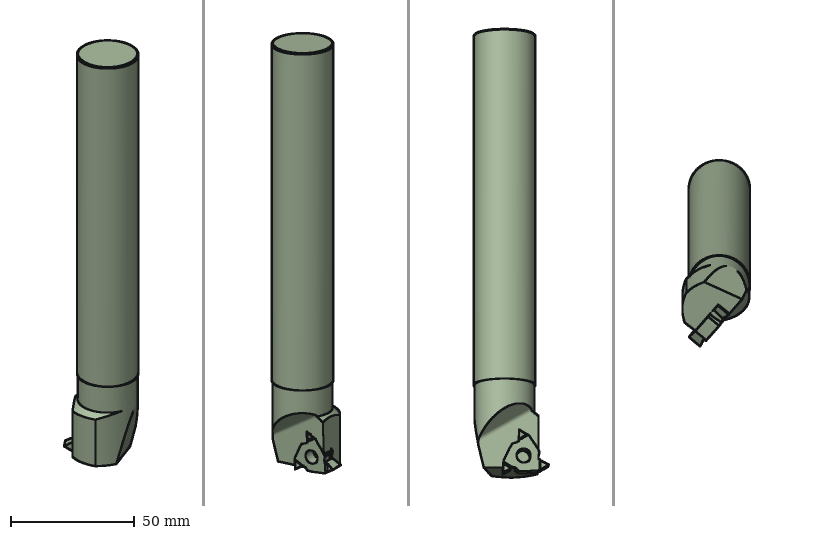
import cadquery as cq
import math


shank_radius = 24.98 / 2
neck_radius = 24.35 / 2
overall_length = 181.89
overall_width_x = 30.73
overall_width_y = 27.3
lowest_tip_drop = 3.43
shank_top = overall_length - lowest_tip_drop
shank_end_chamfer = 0.5
neck_top = 33.7
neck_bottom = 21.9
cone_angle = 50.0

head_bottom = -1.5
head_front = shank_radius - overall_width_y
belly_radius = 16.4
belly_flat_start_x = -1.1
belly_flat_end_x = 0.1
side_flat_front_x = -11.5
side_flat_length = 13.5
side_flat_turn = 13.5
belly_end_x = 8.9
belly_bulge = (4.7, -12.4)
side_slope_start_z = 20.7
side_slope_angle = 12.4

tip_x = shank_radius - overall_width_x
seat_turn = 15.0
seat_lean = 3.0
ramp_turn = 60.0
ramp_start = 22.9
ramp_angle = 50.0
ramp_fillet = 2.0
flute_reach = 60.0
flute_height = 30.0

insert_thickness = 5.9
insert_center = (10.2, 3.6)
insert_hole_diameter = 5.7
tip_count = 3
tip_half_angle = 30.0
tip_depth = 4.1
tip_base_half = tip_depth * math.tan(math.radians(tip_half_angle))
lobe_start = (4.5, 6.6)
lobe_peak = (3.7, 5.1)
lobe_end = (4.1, 3.5)
rake_length = 3.3
rake_step_run = 1.0
rake_overrun = 1.0


def turned(x, y, angle):
    """The vector (x, y) turned by an angle in degrees."""
    a = math.radians(angle)
    return (x * math.cos(a) - y * math.sin(a), x * math.sin(a) + y * math.cos(a))


seat_u = cq.Vector(*turned(1, 0, seat_turn), 0)
level_w = cq.Vector(*turned(0, 1, seat_turn), 0)
lean = math.radians(seat_lean)
seat_w = level_w * math.cos(lean) - cq.Vector(0, 0, math.sin(lean))
seat_v = seat_u.cross(seat_w)
seat_origin = cq.Vector(tip_x, 0, 0)
into_seat = seat_w * -1
seat_plane = cq.Plane(origin=seat_origin, xDir=seat_u, normal=into_seat)


def make_bar():
    """Shank with a chamfered top, and the narrower neck running down through the head."""
    shank = (
        cq.Workplane("XY")
        .workplane(offset=neck_top)
        .circle(shank_radius)
        .extrude(shank_top - neck_top)
        .faces(">Z")
        .edges()
        .chamfer(shank_end_chamfer)
    )
    neck = (
        cq.Workplane("XY")
        .workplane(offset=head_bottom)
        .circle(neck_radius)
        .extrude(neck_top - head_bottom)
    )
    return shank.union(neck)


def make_head():
    """Head with a flat side, a round belly and a cone up to the neck."""
    belly_center_y = head_front + belly_radius
    belly_mid_x = (side_flat_front_x + belly_flat_start_x) / 2

    def belly_point(x):
        return (x, belly_center_y - math.sqrt(belly_radius**2 - x**2))

    side_flat_front = belly_point(side_flat_front_x)
    flat_step = turned(0, side_flat_length, side_flat_turn)
    side_flat_back = (side_flat_front[0] + flat_step[0], side_flat_front[1] + flat_step[1])
    outline = (
        cq.Workplane("XY")
        .workplane(offset=head_bottom)
        .moveTo(*side_flat_back)
        .lineTo(*side_flat_front)
        .threePointArc(belly_point(belly_mid_x), (belly_flat_start_x, head_front))
        .lineTo(belly_flat_end_x, head_front)
        .threePointArc(belly_bulge, (belly_end_x, -math.sqrt(neck_radius**2 - belly_end_x**2)))
        .threePointArc((neck_radius, 0), (0, neck_radius))
        .close()
    )
    height = neck_bottom - head_bottom
    head = outline.extrude(height)
    cone_spread = height * math.tan(math.radians(cone_angle))
    cone = (
        cq.Workplane("XZ")
        .polyline([
            (0, head_bottom),
            (neck_radius + cone_spread, head_bottom),
            (neck_radius, neck_bottom),
            (0, neck_bottom),
        ])
        .close()
        .revolve(360, (0, 0, 0), (0, 1, 0))
    )
    return head.intersect(cone)


def make_flute():
    """Space over the seat, closed at the top by a ramp that meets the seat in a fillet."""
    along, up = turned(1, 0, ramp_turn)
    ramp_direction = seat_u * along + seat_v * up
    plane = cq.Plane(origin=seat_origin, xDir=ramp_direction, normal=ramp_direction.cross(seat_w))
    angle = math.radians(ramp_angle)
    tangent = ramp_fillet * math.tan(angle / 2)
    fillet_end = (ramp_start + tangent * math.cos(angle), tangent * math.sin(angle))
    ramp_run = flute_height / math.tan(angle)
    return (
        cq.Workplane(plane)
        .moveTo(-flute_reach, 0)
        .lineTo(ramp_start - tangent, 0)
        .tangentArcPoint(fillet_end, relative=False)
        .lineTo(ramp_start + ramp_run, flute_height)
        .lineTo(-flute_reach, flute_height)
        .close()
        .extrude(flute_reach, both=True)
    )


def make_side_slope():
    """Wedge that tapers the +X side of the head toward its end."""
    drop = side_slope_start_z - head_bottom
    run = drop * math.tan(math.radians(side_slope_angle))
    return (
        cq.Workplane("XZ")
        .polyline([
            (neck_radius, side_slope_start_z),
            (neck_radius - run, head_bottom),
            (neck_radius + run, head_bottom),
        ])
        .close()
        .extrude(2 * neck_radius, both=True)
    )


def make_insert_blank():
    """Insert outline, one tip and one lobe per side, without its hole and rakes."""
    side = [lobe_start, lobe_peak, lobe_end, (tip_depth, tip_base_half), (0, 0), (tip_depth, -tip_base_half)]
    points = []
    for i in range(tip_count):
        for u, v in side:
            du, dv = turned(u - insert_center[0], v - insert_center[1], i * 360 / tip_count)
            points.append((insert_center[0] + du, insert_center[1] + dv))
    return (
        cq.Workplane(seat_plane)
        .polyline(points)
        .close()
        .extrude(insert_thickness)
    )


def make_insert():
    """Insert with its screw hole and a ground rake on every tip."""
    insert = make_insert_blank()
    hole = (
        cq.Workplane(seat_plane)
        .center(*insert_center)
        .circle(insert_hole_diameter / 2)
        .extrude(insert_thickness)
    )
    slope = math.tan(math.radians(seat_turn))
    rake_plane = cq.Plane(origin=seat_origin, xDir=seat_u, normal=seat_v)
    rake = (
        cq.Workplane(rake_plane)
        .polyline([
            (-rake_overrun, rake_overrun * slope),
            (rake_length, -rake_length * slope),
            (rake_length + rake_step_run, rake_overrun),
            (-rake_overrun, rake_overrun),
        ])
        .close()
        .extrude(tip_base_half, both=True)
    )
    axis_start = seat_plane.toWorldCoords((*insert_center, 0))
    axis_end = axis_start + seat_w
    insert = insert.cut(hole)
    for i in range(tip_count):
        insert = insert.cut(rake.rotate(axis_start.toTuple(), axis_end.toTuple(), i * 360 / tip_count))
    return insert


holder = make_bar().union(make_head()).cut(make_flute()).cut(make_side_slope()).cut(make_insert_blank())
insert = make_insert()

result = cq.Compound.makeCompound([*holder.vals(), *insert.vals()])